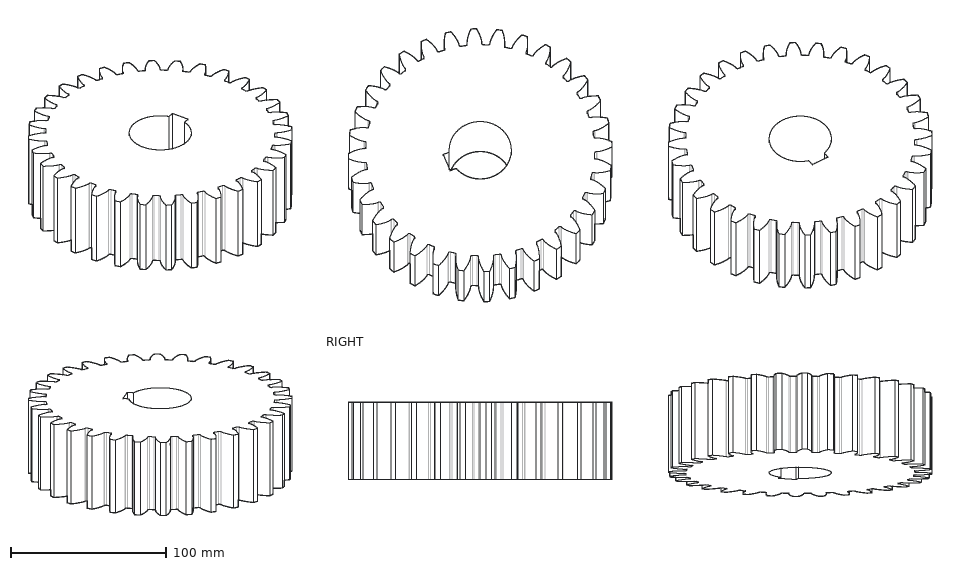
import cadquery as cq
import math

TOOTH_COUNT = 32
TIP_DIAMETER = 170.0
FACE_WIDTH = 50.0
PRESSURE_ANGLE = math.radians(20)
DEDENDUM_RATIO = 1.25
ROOT_BLEND = 1.0
FLANK_POINTS = 12

BORE_DIAMETER = 40.0
KEYWAY_WIDTH = 12.0
KEYWAY_TOP = 23.3

MODULE = TIP_DIAMETER / (TOOTH_COUNT + 2)
TIP_RADIUS = TIP_DIAMETER / 2
PITCH_RADIUS = MODULE * TOOTH_COUNT / 2
ROOT_RADIUS = PITCH_RADIUS - DEDENDUM_RATIO * MODULE
BASE_RADIUS = PITCH_RADIUS * math.cos(PRESSURE_ANGLE)
TOOTH_PITCH = 2 * math.pi / TOOTH_COUNT
BASE_HALF_ANGLE = TOOTH_PITCH / 4 + math.tan(PRESSURE_ANGLE) - PRESSURE_ANGLE

BLEND_ANGLE = ROOT_BLEND / ROOT_RADIUS
BLEND_TOP_RADIUS = ROOT_RADIUS + ROOT_BLEND


def polar(radius, angle):
    return (radius * math.cos(angle), radius * math.sin(angle))


def involute_angle(radius):
    """Angle an involute has turned from its start when it reaches this radius."""
    roll = math.sqrt((radius / BASE_RADIUS) ** 2 - 1)
    return roll - math.atan(roll)


def flank_radii():
    """Radii from the base circle to the tip, packed closer near the base."""
    tip_roll = math.sqrt((TIP_RADIUS / BASE_RADIUS) ** 2 - 1)
    rolls = [tip_roll * i / (FLANK_POINTS - 1) for i in range(FLANK_POINTS)]
    return [BASE_RADIUS * math.sqrt(1 + roll**2) for roll in rolls]


def add_tooth(outline, start):
    """Add one tooth and the root gap after it; start is the angle of its first flank foot."""
    end = start + 2 * BASE_HALF_ANGLE
    next_start = start + TOOTH_PITCH
    radii = flank_radii()
    rising = [polar(r, start + involute_angle(r)) for r in radii]
    falling = [polar(r, end - involute_angle(r)) for r in reversed(radii)]
    tip_middle = polar(TIP_RADIUS, start + BASE_HALF_ANGLE)
    root_middle = polar(ROOT_RADIUS, (end + next_start) / 2)

    first_blend = [polar(ROOT_RADIUS, end), polar(ROOT_RADIUS, end + BLEND_ANGLE)]
    second_blend = [polar(ROOT_RADIUS, next_start), polar(BLEND_TOP_RADIUS, next_start)]

    return (
        outline.lineTo(*rising[0])
        .spline(rising[1:], includeCurrent=True)
        .threePointArc(tip_middle, falling[0])
        .spline(falling[1:], includeCurrent=True)
        .lineTo(*polar(BLEND_TOP_RADIUS, end))
        .bezier(first_blend, includeCurrent=True)
        .threePointArc(root_middle, polar(ROOT_RADIUS, next_start - BLEND_ANGLE))
        .bezier(second_blend, includeCurrent=True)
    )


def gear_blank():
    outline = cq.Workplane("XY").moveTo(BLEND_TOP_RADIUS, 0)
    for i in range(TOOTH_COUNT):
        outline = add_tooth(outline, i * TOOTH_PITCH)
    return outline.close().extrude(FACE_WIDTH)


def keyed_bore():
    bore = cq.Workplane("XY").circle(BORE_DIAMETER / 2).extrude(FACE_WIDTH)
    keyway = (
        cq.Workplane("XY")
        .center(0, KEYWAY_TOP / 2)
        .rect(KEYWAY_WIDTH, KEYWAY_TOP)
        .extrude(FACE_WIDTH)
    )
    return bore.union(keyway)


result = gear_blank().cut(keyed_bore())